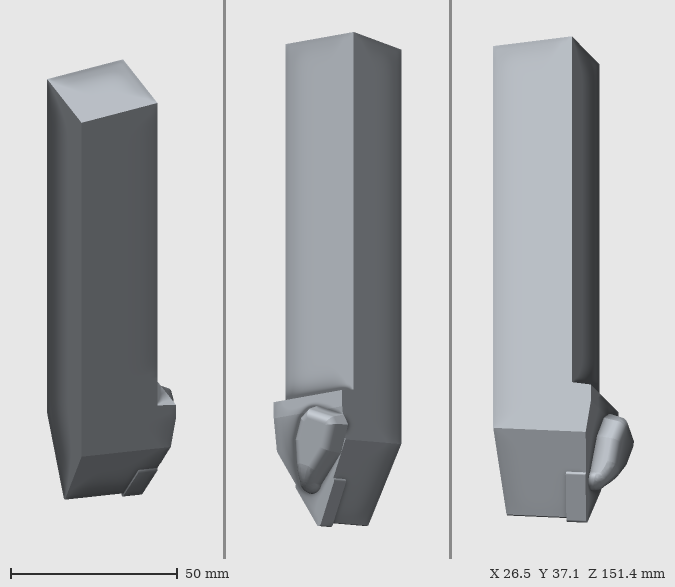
import cadquery as cq
import math

total_height = 151.4
shank_size = 25.0
head_depth = 31.0
shoulder_top = 40.5
shoulder_drop = 1.5
flank_gap = 0.6
head_nose_width = 0.9

seat_tilt = 9.6
tip_depth = 25.3

insert_angle = 55.0
inscribed_diameter = 12.7
insert_thickness = 6.4
nose_radius = 0.8

clamp_turn = 23.5
clamp_width = 14.8
clamp_left = -1.4
clamp_top = 34.4
straight_end = 23.0
nose_start = 12.1
nose_end = 8.5
nose_width = 6.7
corner_cut = 2.4
right_corner_drop = 4.0
clamp_draft = 12.0
clamp_height = 6.5
clamp_nose_height = 1.5
slope_start = 19.7
slope_mid = (12.1, 4.8)
crown_round = 2.7
crown_facing = 0.8

tilt = math.radians(seat_tilt)
half_angle = math.radians(insert_angle / 2)

seat = cq.Plane(
    origin=(0, tip_depth, 0),
    xDir=(1, 0, 0),
    normal=(0, -math.cos(tilt), math.sin(tilt)),
)
sharp_tip = nose_radius - nose_radius / math.sin(half_angle)


def make_insert():
    """Rhombic plate with its top on the seat and one acute corner as the tip."""
    half_length = inscribed_diameter / 2 / math.sin(half_angle)
    half_width = inscribed_diameter / 2 / math.cos(half_angle)
    middle = sharp_tip + half_length
    outline = [
        (0, sharp_tip),
        (half_width, middle),
        (0, middle + half_length),
        (-half_width, middle),
    ]
    blank = cq.Workplane(seat).polyline(outline).close().extrude(insert_thickness)
    return blank.edges(cq.selectors.ParallelDirSelector(seat.zDir)).fillet(nose_radius)


def make_bar():
    """Square shank with the thicker head, cut along the seat."""
    seat_break = (head_depth - tip_depth) / math.tan(tilt)
    profile = [
        (0, 0),
        (tip_depth, 0),
        (head_depth, seat_break),
        (head_depth, shoulder_top - shoulder_drop),
        (shank_size, shoulder_top),
        (shank_size, total_height),
        (0, total_height),
    ]
    return cq.Workplane("YZ").polyline(profile).close().extrude(shank_size / 2, both=True)


def make_point_envelope():
    """Pointed prism square to the seat that trims the foot of the bar."""
    flank_apex = sharp_tip + flank_gap / math.sin(half_angle)
    nose_half = head_nose_width / 2
    nose_level = flank_apex + nose_half / math.tan(half_angle)
    flank_top = flank_apex + shank_size / math.tan(half_angle)
    reach = 2 * total_height
    outline = [
        (-nose_half, nose_level),
        (nose_half, nose_level),
        (shank_size, flank_top),
        (shank_size, reach),
        (-shank_size, reach),
        (-shank_size, flank_top),
    ]
    return cq.Workplane(seat).polyline(outline).close().extrude(reach / 2, both=True)


def make_clamp_blank(turned):
    """Drafted block with a straight body, two cut corners and a round nose."""
    right = clamp_left + clamp_width
    middle = clamp_left + clamp_width / 2
    nose_half = nose_width / 2
    return (
        turned.moveTo(clamp_left + corner_cut, clamp_top)
        .lineTo(right - corner_cut, clamp_top)
        .lineTo(right, clamp_top - right_corner_drop)
        .lineTo(right, straight_end)
        .lineTo(middle + nose_half, nose_start)
        .threePointArc((middle, nose_end), (middle - nose_half, nose_start))
        .lineTo(clamp_left, straight_end)
        .lineTo(clamp_left, clamp_top - corner_cut)
        .close()
        .extrude(-clamp_height, taper=clamp_draft)
    )


def make_clamp_envelope(turned):
    """Side profile of the clamp: a flat crown that curves down to the nose."""
    side_margin = clamp_width
    right_limit = clamp_left + clamp_width + side_margin
    profile_plane = cq.Plane(
        origin=turned.plane.toWorldCoords((right_limit, 0, 0)),
        xDir=turned.plane.yDir,
        normal=-turned.plane.xDir,
    )
    upper_limit = 2 * clamp_top
    return (
        cq.Workplane(profile_plane)
        .lineTo(nose_end, clamp_nose_height)
        .threePointArc(slope_mid, (slope_start, clamp_height))
        .lineTo(upper_limit, clamp_height)
        .lineTo(upper_limit, 0)
        .close()
        .extrude(clamp_width + 2 * side_margin)
    )


def make_clamp():
    turned = cq.Workplane(seat).transformed(rotate=(0, 0, clamp_turn))
    clamp = make_clamp_blank(turned).intersect(make_clamp_envelope(turned))
    outward = -turned.plane.zDir
    crown = [face for face in clamp.faces().vals() if face.normalAt().dot(outward) > crown_facing]
    crown_edges = [edge for face in crown for edge in face.Edges()]
    rim = [edge for edge in crown_edges if sum(edge.isSame(other) for other in crown_edges) == 1]
    return clamp.newObject(rim).fillet(crown_round)


def make_holder(insert):
    """Bar with its pointed head, the pocket for the insert and the clamp on the seat."""
    pointed_bar = make_bar().intersect(make_point_envelope())
    return pointed_bar.cut(insert).union(make_clamp())


insert = make_insert()
holder = make_holder(insert)

result = cq.Compound.makeCompound([holder.val(), insert.val()])